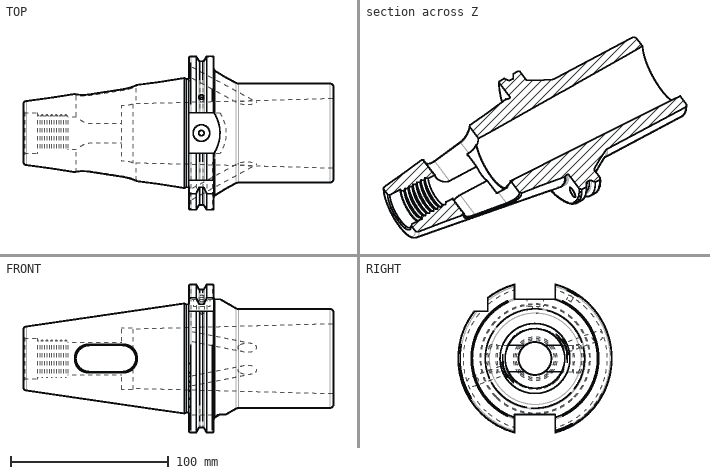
import cadquery as cq
import math


TAPER_SLOPE = 7 / 24 / 2
GAUGE_RADIUS = 69.85 / 2
SHANK_LENGTH = 101.75
SHANK_END_RADIUS = GAUGE_RADIUS - SHANK_LENGTH * TAPER_SLOPE
SHANK_END_ROUND = 2.0

TAPER_END = 0.4
TAPER_END_RADIUS = GAUGE_RADIUS + TAPER_END * TAPER_SLOPE
NECK_RADIUS = 34.4
NECK_START = 1.5
NECK_ROUND = 0.6

FLANGE_RADIUS = 97.5 / 2
FLANGE_FRONT = 3.2
FLANGE_BACK = 19.1
FLANGE_EDGE_ROUND = 1.2

GROOVE_CENTER = (FLANGE_FRONT + FLANGE_BACK) / 2
GROOVE_FLOOR_RADIUS = 91.25 / 2
GROOVE_FLOOR_WIDTH = 3.0
GROOVE_HALF_ANGLE = math.radians(30)
GROOVE_FLOOR_ROUND = 1.0

BACK_CONE_SLOPE = math.tan(math.radians(30))
BODY_RADIUS = 63 / 2
BODY_CONE_END = 33.7
BODY_END = 95.0
BODY_EDGE_ROUND = 2.5
CONE_FOOT_ROUND = 3.0
CONE_HEAD_ROUND = 1.0
BACK_CONE_RADIUS = BODY_RADIUS + (BODY_CONE_END - FLANGE_BACK) * BACK_CONE_SLOPE

DRIVE_SLOT_WIDTH = 25.7
UPPER_SLOT_FLOOR = 37.7
LOWER_SLOT_FLOOR = 35.5
NOTCH_OFFSET = 30.0

CHIP_RADIUS = 5.25
CHIP_DEPTH = 4.6
CHIP_PILOT_RADIUS = 1.7
CHIP_PILOT_DEPTH = 4.0
DRILL_POINT_HALF_ANGLE = math.radians(59)

BORE_RADIUS = 12.9
BORE_DEPTH = 8.8
BORE_RIM_CHAMFER = 1.0
THREAD_CREST_RADIUS = 20.75 / 2
THREAD_ROOT_RADIUS = 24 / 2
THREAD_PITCH = 3.0
THREAD_TURNS = 6

SOCKET_MOUTH_RADIUS = 44.4 / 2
SOCKET_SLOPE = 1 / 19.002 / 2
SOCKET_CONE_END = -32.3
RELIEF_END = -39.8
RELIEF_RADIUS = 19.4
SOCKET_END_RADIUS = SOCKET_MOUTH_RADIUS - (BODY_END - SOCKET_CONE_END) * SOCKET_SLOPE

DRIFT_SLOT_CENTER = -49.4
DRIFT_SLOT_LENGTH = 38.0
DRIFT_SLOT_WIDTH = 16.5
DRIFT_SLOT_CHAMFER = 0.9

COOLANT_RADIUS = 3.1
COOLANT_PITCH_RADIUS = 42.0
COOLANT_TILT = 30.0
COOLANT_ANGLES = (20, 200)
COOLANT_LENGTH = 50.0

MARK_ANGLE = 60
MARK_HOLE_RADIUS = 1.6
MARK_HOLE_DEPTH = 3.0
MARK_FLAT_WIDTH = 8.0
MARK_FLAT_DEPTH = 1.0

CLEARANCE = 1.0
TOLERANCE = 0.01


def revolve_about_x(profile):
    """Revolve a closed (x, radius) profile about the X axis."""
    return profile.close().revolve(360, (0, 0, 0), (1, 0, 0))


def outer_body():
    body = revolve_about_x(
        cq.Workplane("XZ")
        .moveTo(-SHANK_LENGTH, 0)
        .lineTo(-SHANK_LENGTH, SHANK_END_RADIUS)
        .lineTo(TAPER_END, TAPER_END_RADIUS)
        .lineTo(NECK_START, NECK_RADIUS)
        .lineTo(FLANGE_FRONT - NECK_ROUND, NECK_RADIUS)
        .radiusArc((FLANGE_FRONT, NECK_RADIUS + NECK_ROUND), -NECK_ROUND)
        .lineTo(FLANGE_FRONT, FLANGE_RADIUS)
        .lineTo(FLANGE_BACK, FLANGE_RADIUS)
        .lineTo(FLANGE_BACK, BACK_CONE_RADIUS)
        .lineTo(BODY_CONE_END, BODY_RADIUS)
        .lineTo(BODY_END, BODY_RADIUS)
        .lineTo(BODY_END, 0)
    )
    body = round_circle(body, -SHANK_LENGTH, SHANK_END_RADIUS, SHANK_END_ROUND)
    body = round_circle(body, FLANGE_FRONT, FLANGE_RADIUS, FLANGE_EDGE_ROUND)
    body = round_circle(body, FLANGE_BACK, FLANGE_RADIUS, FLANGE_EDGE_ROUND)
    body = round_circle(body, BODY_CONE_END, BODY_RADIUS, CONE_FOOT_ROUND)
    body = round_circle(body, FLANGE_BACK, BACK_CONE_RADIUS, CONE_HEAD_ROUND)
    return round_circle(body, BODY_END, BODY_RADIUS, BODY_EDGE_ROUND)


def circle_selector(x, radius):
    """Box selector catching the circular edges centred on the axis at one X position."""
    reach = radius + CLEARANCE
    return cq.selectors.BoxSelector(
        (x - TOLERANCE, -reach, -reach), (x + TOLERANCE, reach, reach), boundingbox=True
    )


def round_circle(body, x, radius, round_radius):
    """Fillet the circular edge of the given radius at the given X position."""
    candidates = body.edges(circle_selector(x, radius)).edges("%CIRCLE")
    rim = candidates.filter(lambda edge: abs(edge.radius() - radius) < TOLERANCE)
    return rim.fillet(round_radius)


def v_groove():
    floor_half = GROOVE_FLOOR_WIDTH / 2
    rise = FLANGE_RADIUS - GROOVE_FLOOR_RADIUS
    mouth_half = floor_half + rise * math.tan(GROOVE_HALF_ANGLE)
    outside = FLANGE_RADIUS + CLEARANCE
    ring = revolve_about_x(
        cq.Workplane("XZ")
        .moveTo(GROOVE_CENTER - floor_half, GROOVE_FLOOR_RADIUS)
        .lineTo(GROOVE_CENTER - mouth_half, FLANGE_RADIUS)
        .lineTo(GROOVE_CENTER - mouth_half, outside)
        .lineTo(GROOVE_CENTER + mouth_half, outside)
        .lineTo(GROOVE_CENTER + mouth_half, FLANGE_RADIUS)
        .lineTo(GROOVE_CENTER + floor_half, GROOVE_FLOOR_RADIUS)
    )
    for x in (GROOVE_CENTER - floor_half, GROOVE_CENTER + floor_half):
        ring = round_circle(ring, x, GROOVE_FLOOR_RADIUS, GROOVE_FLOOR_ROUND)
    return ring


def box_between(x_range, y_range, z_range):
    lows = [r[0] for r in (x_range, y_range, z_range)]
    sizes = [r[1] - r[0] for r in (x_range, y_range, z_range)]
    return cq.Workplane("XY").box(*sizes, centered=False).translate(tuple(lows))


def flange_slots():
    outside = FLANGE_RADIUS + CLEARANCE
    half = DRIVE_SLOT_WIDTH / 2
    x_range = (FLANGE_FRONT, BODY_CONE_END)
    upper = box_between(x_range, (-half, half), (UPPER_SLOT_FLOOR, outside))
    lower = box_between(x_range, (-half, half), (-outside, -LOWER_SLOT_FLOOR))
    notch = box_between(x_range, (-outside, -NOTCH_OFFSET), (NOTCH_OFFSET, outside))
    return upper.union(lower).union(notch)


def chip_pocket():
    pocket_floor = UPPER_SLOT_FLOOR - CHIP_DEPTH
    pilot_end = pocket_floor - CHIP_PILOT_DEPTH
    tip = pilot_end - CHIP_PILOT_RADIUS / math.tan(DRILL_POINT_HALF_ANGLE)
    return (
        cq.Workplane("XZ")
        .moveTo(0, UPPER_SLOT_FLOOR)
        .lineTo(CHIP_RADIUS, UPPER_SLOT_FLOOR)
        .lineTo(CHIP_RADIUS, pocket_floor)
        .lineTo(CHIP_PILOT_RADIUS, pocket_floor)
        .lineTo(CHIP_PILOT_RADIUS, pilot_end)
        .lineTo(0, tip)
        .close()
        .revolve(360, (0, 0, 0), (0, 1, 0))
        .translate((GROOVE_CENTER, 0, 0))
    )


def axial_bore():
    """Drawbar bore, ring-shaped thread turns and Morse socket as one stepped cavity."""
    bore_end = -SHANK_LENGTH + BORE_DEPTH
    profile = (
        cq.Workplane("XZ")
        .moveTo(-SHANK_LENGTH, 0)
        .lineTo(-SHANK_LENGTH, BORE_RADIUS + BORE_RIM_CHAMFER)
        .lineTo(-SHANK_LENGTH + BORE_RIM_CHAMFER, BORE_RADIUS)
        .lineTo(bore_end, BORE_RADIUS)
        .lineTo(bore_end, THREAD_ROOT_RADIUS)
    )
    for turn in range(THREAD_TURNS):
        root_x = bore_end + turn * THREAD_PITCH
        profile = (
            profile
            .lineTo(root_x + THREAD_PITCH / 2, THREAD_CREST_RADIUS)
            .lineTo(root_x + THREAD_PITCH, THREAD_ROOT_RADIUS)
        )
    thread_end = bore_end + (THREAD_TURNS + 0.5) * THREAD_PITCH
    return revolve_about_x(
        profile
        .lineTo(thread_end, THREAD_CREST_RADIUS)
        .lineTo(RELIEF_END, THREAD_CREST_RADIUS)
        .lineTo(RELIEF_END, RELIEF_RADIUS)
        .lineTo(SOCKET_CONE_END, RELIEF_RADIUS)
        .lineTo(SOCKET_CONE_END, SOCKET_END_RADIUS)
        .lineTo(BODY_END, SOCKET_MOUTH_RADIUS)
        .lineTo(BODY_END, 0)
    )


def drift_slot():
    return (
        cq.Workplane("XZ")
        .center(DRIFT_SLOT_CENTER, 0)
        .slot2D(DRIFT_SLOT_LENGTH, DRIFT_SLOT_WIDTH)
        .extrude(GAUGE_RADIUS, both=True)
    )


def cut_drift_slot(body):
    """Cut the drift slot through the shank and chamfer its rim on both sides."""
    slotted = body.cut(drift_slot())
    half_length = DRIFT_SLOT_LENGTH / 2 + CLEARANCE
    half_width = DRIFT_SLOT_WIDTH / 2 + CLEARANCE
    for near_y, far_y in ((-GAUGE_RADIUS, -BORE_RADIUS), (BORE_RADIUS, GAUGE_RADIUS)):
        rim = cq.selectors.BoxSelector(
            (DRIFT_SLOT_CENTER - half_length, near_y, -half_width),
            (DRIFT_SLOT_CENTER + half_length, far_y, half_width),
        )
        slotted = slotted.edges(rim).chamfer(DRIFT_SLOT_CHAMFER)
    return slotted


def coolant_channel(angle):
    """Channel entering at the flange face and sloping inwards to the socket."""
    tilt = math.radians(COOLANT_TILT)
    direction = cq.Vector(math.cos(tilt), -math.sin(tilt), 0)
    lead = COOLANT_RADIUS * 2
    entry = cq.Vector(FLANGE_FRONT, COOLANT_PITCH_RADIUS, 0)
    channel = cq.Solid.makeCylinder(
        COOLANT_RADIUS, COOLANT_LENGTH + lead, entry - direction * lead, direction
    )
    return cq.Workplane(channel).rotate((0, 0, 0), (1, 0, 0), angle)


def index_mark():
    """Radial hole and rear edge flat, modelled at +Y and turned to the mark angle."""
    hole_floor = GROOVE_FLOOR_RADIUS - MARK_HOLE_DEPTH
    hole = cq.Workplane(
        cq.Solid.makeCylinder(
            MARK_HOLE_RADIUS,
            FLANGE_RADIUS - hole_floor,
            cq.Vector(GROOVE_CENTER, hole_floor, 0),
            cq.Vector(0, 1, 0),
        )
    )
    flat = box_between(
        (FLANGE_BACK - FLANGE_EDGE_ROUND, FLANGE_BACK),
        (FLANGE_RADIUS - MARK_FLAT_DEPTH, FLANGE_RADIUS + CLEARANCE),
        (-MARK_FLAT_WIDTH / 2, MARK_FLAT_WIDTH / 2),
    )
    return hole.union(flat).rotate((0, 0, 0), (1, 0, 0), MARK_ANGLE)


result = outer_body().cut(v_groove()).cut(flange_slots()).cut(chip_pocket()).cut(index_mark())
result = cut_drift_slot(result)
for channel_angle in COOLANT_ANGLES:
    result = result.cut(coolant_channel(channel_angle))
result = result.cut(axial_bore())